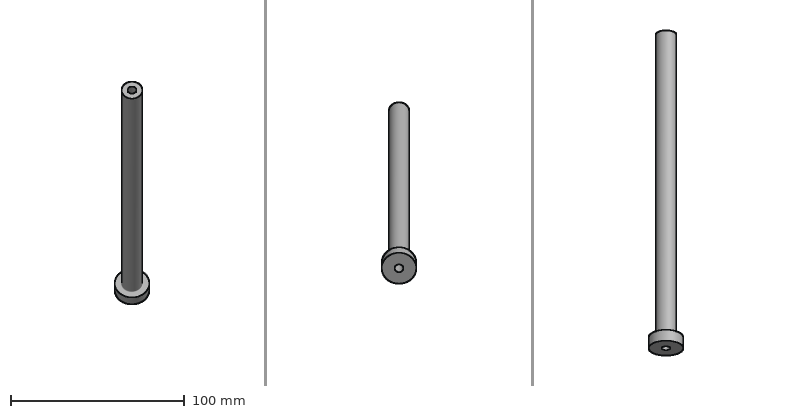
import cadquery as cq

total_length = 200.0
head_diameter = 20.0
head_height = 7.0
shank_diameter = 12.0
bore_diameter = 5.0
neck_fillet_radius = 0.5

head = cq.Workplane("XY").circle(head_diameter / 2).extrude(head_height)

shank = cq.Workplane("XY").circle(shank_diameter / 2).extrude(total_length)

body = head.union(shank)
neck_edge = body.faces("+Z").faces("<Z").edges(cq.selectors.RadiusNthSelector(0))
body = neck_edge.fillet(neck_fillet_radius)

bore = cq.Workplane("XY").circle(bore_diameter / 2).extrude(total_length)
result = body.cut(bore)